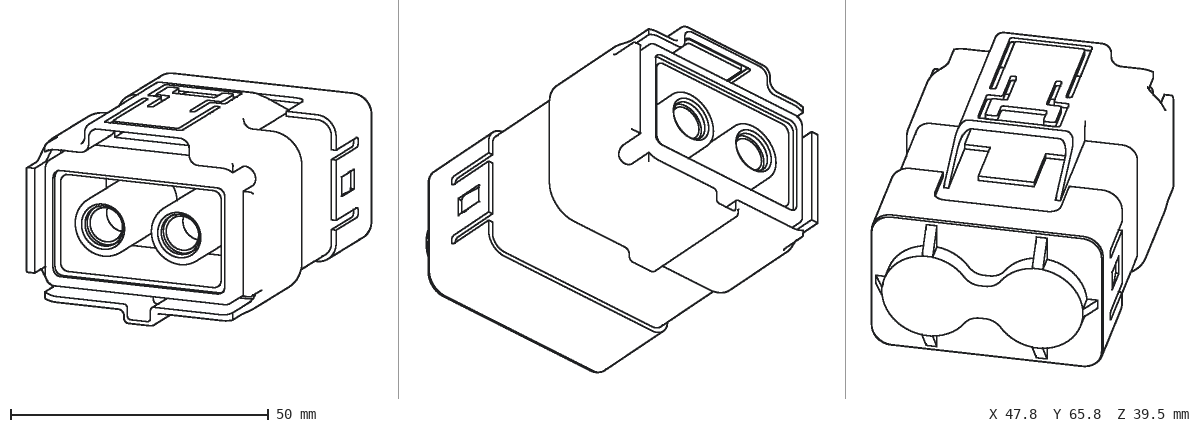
import cadquery as cq
import math


TOTAL_LENGTH = 65.8
COLLAR_END = 61.85
COLLAR_START = 43.75
SHROUD_LENGTH = 25.1
GAP_DEPTH = 12.95

BODY_HALF_X = 22.0
BODY_HALF_Z = 13.75
BODY_RADIUS = 3.0
COLLAR_STEP = 1.0
COLLAR_TOP = BODY_HALF_Z + COLLAR_STEP
COLLAR_BEVEL_DEPTH = 0.2
COLLAR_BEVEL_LENGTH = 0.5

SHROUD_HALF_X = 23.9
SHROUD_HALF_Z = 16.05
SHROUD_RADIUS = 6.4
SHROUD_INNER_RADIUS = 4.6
EDGE_ROUND = 0.5

HOOD_HALF_X = 11.6
HOOD_TOP = 20.8
HOOD_WALL = 1.0
HOOD_RADIUS = 2.0
HOOD_BLEND = 1.85
HOOD_INNER_HALF_X = HOOD_HALF_X - HOOD_WALL
HOOD_ROOF = HOOD_TOP - HOOD_WALL
HOOD_END = 47.8
HOOD_SHOULDER = (34.4, 20.1)
HOOD_TOP_END = 33.5
HOOD_FLOOR_STEP = 32.9

KEY_HALF_X = 3.35
KEY_BOTTOM = -18.7
KEY_WALL = 0.9
KEY_OUTER_RADIUS = 1.05
KEY_INNER_RADIUS = 0.7

NOTCH_DEPTH = 6.9
NOTCH_X = 19.8
NOTCH_Z = 10.5
NOTCH_RADIUS = 2.0

TUBE_HALF_X = 19.9
TUBE_HALF_Z = 12.75
TUBE_RADIUS = 2.0
MOUTH_HALF_X = 18.1
MOUTH_HALF_Z = 10.65
MOUTH_DEPTH = 1.0
CAVITY_HALF_X = 16.9
CAVITY_HALF_Z = 9.75
CAVITY_RADIUS = 1.65
CAVITY_DEPTH = 23.7

CONTACT_X = 8.0
CONTACT_DIAMETER = 12.05
CONTACT_TIP = 1.1
CONTACT_EDGE = 0.45
CONTACT_MOUTH_DIAMETER = 9.1
CONTACT_STEP_DIAMETER = 8.0
CONTACT_BORE_DIAMETER = 6.85
CONTACT_STEP_DEPTH = 1.6
CONTACT_BORE_DEPTH = 9.9
FLOOR_HOLE_DIAMETER = 1.2
FLOOR_HOLE_Z = 5.4
FLOOR_HOLE_DEPTH = 1.3

RECESS_HALF_X = 12.5
RECESS_END = 53.75
RECESS_RADIUS = 2.3
SIDE_SLOT_Z = 7.05
SIDE_SLOT_WIDTH = 2.0
SIDE_SLOT_END = 54.75
SIDE_SLOT_RADIUS = 0.8
WINDOW_START = 46.65
WINDOW_END = 52.85
WINDOW_HALF_Z = 2.0
CATCH_CREST = 50.5
CATCH_HEIGHT = 0.8
CATCH_TOE_HEIGHT = 0.3
CATCH_ROOT = 0.65

SLOT_WIDTH = 1.2
SLOT_RADIUS = 0.5
SLOT_OUTER_X = 8.15
SLOT_INNER_X = SLOT_OUTER_X - SLOT_WIDTH
TONGUE_SLOT_END = 32.3
TONGUE_END = 30.9
TONGUE_SHOULDER = 24.75
TONGUE_NECK_X = 3.9
TONGUE_NECK_END = 15.8
TONGUE_NOTCH_X = 4.55
TONGUE_NOTCH_START = 27.0
LEVER_SLOT_START = 2.0
LEVER_SLOT_END = 21.25
PAD_HALF_X = 5.5

STUB_X = 10.9
STUB_RADIUS = 9.0
STUB_WEB_HALF_Z = 3.7
STUB_WEB_RADIUS = 3.75
GUSSET_TOP_WIDTH = 2.1
GUSSET_SIDE_WIDTH = 1.85


def box(x0, x1, y0, y1, z0, z1):
    return cq.Workplane("XY").box(x1 - x0, y1 - y0, z1 - z0, centered=False).translate((x0, y0, z0))


def rounded_bar(half_x, half_z, radius, y0, y1):
    """Bar along Y with a rounded rectangular section."""
    return box(-half_x, half_x, y0, y1, -half_z, half_z).edges("|Y").fillet(radius)


def rod(diameter, x, z, y0, y1):
    """Round rod along Y."""
    return cq.Workplane("XZ", origin=(x, y0, z)).circle(diameter / 2).extrude(y0 - y1)


def corner_edges(bar, half_x, z):
    """The pair of edges along Y that run through (half_x, z) and (-half_x, z)."""
    pair = []
    for edge in bar.edges("|Y").vals():
        middle = edge.Center()
        if math.isclose(abs(middle.x), half_x) and math.isclose(middle.z, z):
            pair.append(edge)
    return bar.newObject(pair)


def hood_bar(half_x, top, bottom, y0, y1):
    """Bar along Y with its two top edges rounded."""
    bar = box(-half_x, half_x, y0, y1, bottom, top)
    return bar.faces(">Z").edges("|Y").fillet(HOOD_RADIUS)


def shroud_profile(
    half_x,
    half_z,
    radius,
    hood_half_x,
    hood_top,
    key_half_x,
    key_bottom,
    key_radius,
    length,
):
    """Rounded bar with the hood above it and the key below, blended where they meet."""
    bar = rounded_bar(half_x, half_z, radius, 0, length)
    bar = bar.union(hood_bar(hood_half_x, hood_top, 0, 0, length))
    key = box(-key_half_x, key_half_x, 0, length, key_bottom, 0)
    bar = bar.union(key.faces("<Z").edges("|Y").fillet(key_radius))
    bar = corner_edges(bar, hood_half_x, half_z).fillet(HOOD_BLEND)
    return corner_edges(bar, key_half_x, -half_z).fillet(key_radius)


def make_body():
    body = rounded_bar(BODY_HALF_X, BODY_HALF_Z, BODY_RADIUS, GAP_DEPTH, COLLAR_END)
    collar = rounded_bar(
        BODY_HALF_X + COLLAR_STEP, COLLAR_TOP, BODY_RADIUS + COLLAR_STEP, COLLAR_START, COLLAR_END
    )
    collar = collar.faces(">Y").chamfer(COLLAR_BEVEL_DEPTH, COLLAR_BEVEL_LENGTH)

    recess = box(-RECESS_HALF_X, RECESS_HALF_X, COLLAR_START, RECESS_END, BODY_HALF_Z, HOOD_TOP)
    collar = collar.cut(recess.faces(">Y").edges("|Z").fillet(RECESS_RADIUS))

    for side in (-1, 1):
        x0, x1 = sorted((side * BODY_HALF_X, side * SHROUD_HALF_X))
        for z in (-SIDE_SLOT_Z, SIDE_SLOT_Z):
            half = SIDE_SLOT_WIDTH / 2
            slot = box(x0, x1, COLLAR_START, SIDE_SLOT_END, z - half, z + half)
            collar = collar.cut(slot.faces(">Y").edges("|X").fillet(SIDE_SLOT_RADIUS))
        collar = collar.cut(box(x0, x1, WINDOW_START, WINDOW_END, -WINDOW_HALF_Z, WINDOW_HALF_Z))
        body = body.union(make_catch(side))
    return body.union(collar)


def make_catch(side):
    """Catch in a collar window: a ramp up to a crest, then a back that curves down."""
    root = side * (BODY_HALF_X - CATCH_ROOT)
    floor = side * BODY_HALF_X
    toe = side * (BODY_HALF_X + CATCH_TOE_HEIGHT)
    crest = side * (BODY_HALF_X + CATCH_HEIGHT)
    section = (
        cq.Workplane("XY", origin=(0, 0, -WINDOW_HALF_Z))
        .moveTo(root, WINDOW_START)
        .lineTo(toe, WINDOW_START)
        .lineTo(crest, CATCH_CREST)
        .tangentArcPoint((floor, WINDOW_END), relative=False)
        .lineTo(root, WINDOW_END)
        .close()
    )
    return section.extrude(2 * WINDOW_HALF_Z)


def make_shroud():
    shroud = shroud_profile(
        SHROUD_HALF_X,
        SHROUD_HALF_Z,
        SHROUD_RADIUS,
        HOOD_HALF_X,
        HOOD_TOP,
        KEY_HALF_X,
        KEY_BOTTOM,
        KEY_OUTER_RADIUS,
        SHROUD_LENGTH,
    )
    skin = cq.Compound.makeCompound(shroud.faces("not |Y").vals())
    shroud = cut_notches(shroud.faces(">Y").edges().fillet(EDGE_ROUND))
    return shroud.newObject(front_rim(shroud, skin)).fillet(EDGE_ROUND)


def front_rim(shroud, skin):
    """Edges that bound the outer skin at the mating face and around the notches."""
    tolerance = 0.0005
    rim = []
    for edge in shroud.edges().vals():
        points = [cq.Vertex.makeVertex(*edge.positionAt(t).toTuple()) for t in (0, 0.5, 1)]
        on_skin = all(skin.distance(point) < tolerance for point in points)
        if on_skin and edge.BoundingBox().ymax < NOTCH_DEPTH + tolerance:
            rim.append(edge)
    return rim


def make_gap():
    """Space between the shroud and the socket tube, open at the mating face."""
    return shroud_profile(
        BODY_HALF_X,
        COLLAR_TOP,
        SHROUD_INNER_RADIUS,
        HOOD_INNER_HALF_X,
        HOOD_ROOF,
        KEY_HALF_X - KEY_WALL,
        KEY_BOTTOM + KEY_WALL,
        KEY_INNER_RADIUS,
        GAP_DEPTH,
    )


def cut_notches(shroud):
    for side_x in (-1, 1):
        for side_z in (-1, 1):
            x0, x1 = sorted((side_x * NOTCH_X, side_x * SHROUD_HALF_X))
            z0, z1 = sorted((side_z * NOTCH_Z, side_z * SHROUD_HALF_Z))
            notch = box(x0, x1, 0, NOTCH_DEPTH, z0, z1)
            inner_x = "<X" if side_x > 0 else ">X"
            inner_z = "<Z" if side_z > 0 else ">Z"
            notch = notch.edges(f"(>Y and {inner_x}) or (>Y and {inner_z})").fillet(NOTCH_RADIUS)
            shroud = shroud.cut(notch)
    return shroud


def make_hood():
    """Channel that runs back over the body and slopes down to it."""
    hood = hood_bar(HOOD_HALF_X, HOOD_TOP, 0, GAP_DEPTH, HOOD_END)
    slope = (
        cq.Workplane("YZ", origin=(-HOOD_HALF_X, 0, 0))
        .moveTo(HOOD_END, BODY_HALF_Z)
        .lineTo(*HOOD_SHOULDER)
        .lineTo(HOOD_TOP_END, HOOD_TOP)
        .lineTo(HOOD_END, HOOD_TOP)
        .close()
        .extrude(2 * HOOD_HALF_X)
    )
    return hood.cut(slope)


def make_hood_passage():
    """Passage under the hood, with a floor that steps down at the back."""
    front = hood_bar(HOOD_INNER_HALF_X, HOOD_ROOF, COLLAR_TOP, 0, HOOD_END)
    rear = hood_bar(HOOD_INNER_HALF_X, HOOD_ROOF, BODY_HALF_Z, HOOD_FLOOR_STEP, HOOD_END)
    return front.union(rear)


def latch_slot(right_half):
    """Cutter through the hood roof from the right half of a slot outline."""
    left_half = [(-x, y) for x, y in reversed(right_half)]
    outline = cq.Workplane("XY", origin=(0, 0, HOOD_ROOF)).polyline(right_half + left_half).close()
    return outline.extrude(HOOD_WALL).edges("|Z").fillet(SLOT_RADIUS)


def make_latch_slots():
    """One slot around the T-shaped tongue and one U-shaped slot around the lever."""
    tongue_slot = latch_slot(
        [
            (SLOT_OUTER_X, TONGUE_SLOT_END),
            (SLOT_OUTER_X, TONGUE_SHOULDER - SLOT_WIDTH),
            (TONGUE_NECK_X + SLOT_WIDTH, TONGUE_SHOULDER - SLOT_WIDTH),
            (TONGUE_NECK_X + SLOT_WIDTH, TONGUE_NECK_END),
            (TONGUE_NECK_X, TONGUE_NECK_END),
            (TONGUE_NECK_X, TONGUE_SHOULDER),
            (SLOT_INNER_X, TONGUE_SHOULDER),
            (SLOT_INNER_X, TONGUE_END),
            (TONGUE_NOTCH_X, TONGUE_END),
            (TONGUE_NOTCH_X, TONGUE_NOTCH_START),
        ]
    )
    lever_slot = latch_slot(
        [
            (SLOT_INNER_X, LEVER_SLOT_START + SLOT_WIDTH),
            (SLOT_INNER_X, LEVER_SLOT_END),
            (SLOT_OUTER_X, LEVER_SLOT_END),
            (SLOT_OUTER_X, LEVER_SLOT_START),
        ]
    )
    return tongue_slot.union(lever_slot)


def make_tube():
    tube = rounded_bar(TUBE_HALF_X, TUBE_HALF_Z, TUBE_RADIUS, 0, GAP_DEPTH)
    return tube.faces("<Y").edges().fillet(EDGE_ROUND)


def make_cavity():
    mouth = rounded_bar(MOUTH_HALF_X, MOUTH_HALF_Z, CAVITY_RADIUS, 0, MOUTH_DEPTH)
    cavity = rounded_bar(CAVITY_HALF_X, CAVITY_HALF_Z, CAVITY_RADIUS, 0, CAVITY_DEPTH)
    cavity = cavity.union(mouth)
    for z in (-FLOOR_HOLE_Z, FLOOR_HOLE_Z):
        cavity = cavity.union(rod(FLOOR_HOLE_DIAMETER, 0, z, CAVITY_DEPTH, CAVITY_DEPTH + FLOOR_HOLE_DEPTH))
    return cavity


def make_contact(x):
    contact = rod(CONTACT_DIAMETER, x, 0, CONTACT_TIP, CAVITY_DEPTH).faces("<Y").edges().fillet(CONTACT_EDGE)
    step = rod(CONTACT_STEP_DIAMETER, x, 0, CONTACT_TIP, CONTACT_TIP + CONTACT_STEP_DEPTH)
    bore = rod(CONTACT_BORE_DIAMETER, x, 0, CONTACT_TIP, CONTACT_TIP + CONTACT_BORE_DEPTH)
    contact = contact.cut(step).cut(bore)
    lead_in = (CONTACT_MOUTH_DIAMETER - CONTACT_STEP_DIAMETER) / 2
    return contact.faces("<Y").edges("%CIRCLE").edges(cq.selectors.RadiusNthSelector(0)).chamfer(lead_in)


def make_stub():
    """Twin-lobed stub behind the collar, braced by gussets."""
    stub = box(-STUB_X, STUB_X, COLLAR_END, TOTAL_LENGTH, -STUB_WEB_HALF_Z, STUB_WEB_HALF_Z)
    for x in (-STUB_X, STUB_X):
        stub = stub.union(rod(2 * STUB_RADIUS, x, 0, COLLAR_END, TOTAL_LENGTH))
    lobe_drop = math.sqrt(STUB_RADIUS**2 - STUB_WEB_HALF_Z**2)
    for z in (-STUB_WEB_HALF_Z, STUB_WEB_HALF_Z):
        stub = corner_edges(stub, STUB_X - lobe_drop, z).fillet(STUB_WEB_RADIUS)
    for x in (-STUB_X, STUB_X):
        stub = stub.union(gusset("YZ", BODY_HALF_Z, STUB_RADIUS, GUSSET_TOP_WIDTH).translate((x, 0, 0)))
    return stub.union(gusset("YX", BODY_HALF_X, STUB_X + STUB_RADIUS, GUSSET_SIDE_WIDTH))


def gusset(plane, foot, crown, width):
    """Symmetric plate that narrows from the collar to the end of the stub."""
    outline = cq.Workplane(plane).polyline(
        [(COLLAR_END, -foot), (COLLAR_END, foot), (TOTAL_LENGTH, crown), (TOTAL_LENGTH, -crown)]
    )
    return outline.close().extrude(width / 2, both=True)


pad = box(-PAD_HALF_X, PAD_HALF_X, HOOD_FLOOR_STEP, COLLAR_START, BODY_HALF_Z, COLLAR_TOP)

shell = make_body().union(make_shroud()).union(make_hood())
shell = shell.cut(make_gap()).cut(make_hood_passage()).cut(make_latch_slots())
result = shell.union(pad).union(make_tube()).cut(make_cavity())
for contact_x in (-CONTACT_X, CONTACT_X):
    result = result.union(make_contact(contact_x))
result = result.union(make_stub())